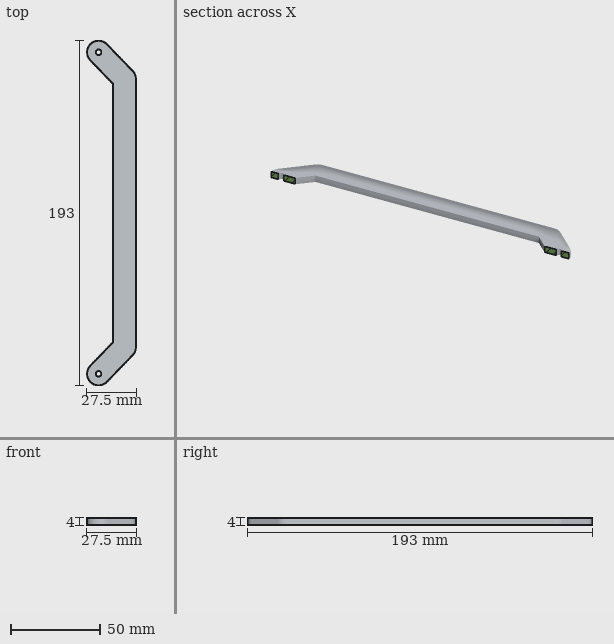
import cadquery as cq
import math

thickness = 4.0
strap_width = 13.0
hole_spacing = 180.0
straight_length = 150.0
arm_offset = 14.49
hole_diameter = 3.0

bend_y = straight_length / 2
hole_y = hole_spacing / 2
upper_hole = (-arm_offset, hole_y)
upper_bend = (0, bend_y)
lower_bend = (0, -bend_y)
lower_hole = (-arm_offset, -hole_y)


def make_segment(start, end):
    """Round-ended flat strap whose end radii are centred on start and end."""
    dx = end[0] - start[0]
    dy = end[1] - start[1]
    length = math.hypot(dx, dy)
    angle = math.degrees(math.atan2(dy, dx))
    middle = ((start[0] + end[0]) / 2, (start[1] + end[1]) / 2)
    return (
        cq.Workplane("XY")
        .center(*middle)
        .slot2D(length + strap_width, strap_width, angle)
        .extrude(thickness)
    )


def make_strap():
    """Bar and two arms; the shared end radii round the outside of each bend."""
    bar = make_segment(lower_bend, upper_bend)
    upper_arm = make_segment(upper_bend, upper_hole)
    lower_arm = make_segment(lower_bend, lower_hole)
    return bar.union(upper_arm).union(lower_arm).clean()


def drill_end_holes(body):
    """Through hole concentric with each rounded end."""
    holes = (
        cq.Workplane("XY")
        .pushPoints([upper_hole, lower_hole])
        .circle(hole_diameter / 2)
        .extrude(thickness)
    )
    return body.cut(holes)


result = drill_end_holes(make_strap())